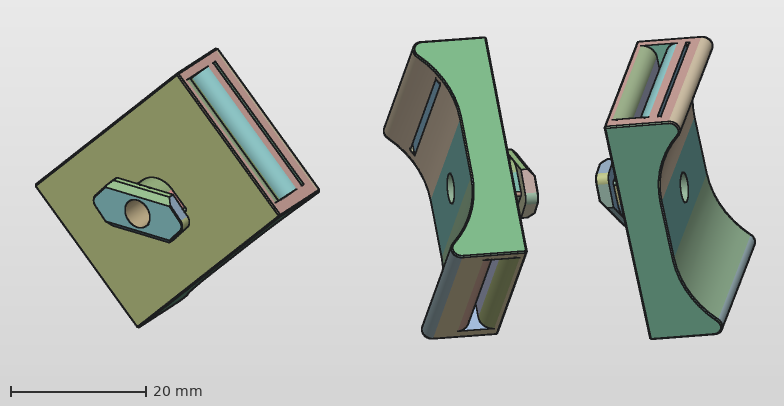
import cadquery as cq
import math

length = 36.2
width = 26.12
thickness = 11.35
edge_break = 0.2
turn_angle = -45

saddle_depth = 5.08
saddle_half_flat = 4.8
tip_radius = 1.45

tunnel_width = 22.4
side_wall = 1.6
tunnel_height = 1.45
flare_radius = 2.05
tunnel_level = 3.68

slit_height = 0.53
slit_level = 8.1

neck_height = 3.2
neck_radius = 3.75
neck_half_width = 5.2
neck_tip_half_height = 0.35
flange_thickness = 1.95
flange_half_flat = 5.05
flange_half_height = 3.75
flange_point = 8.4
flange_tip_radius = 1.3
flange_bevel = 0.95
flange_edge_break = 0.15
hole_diameter = 4.45

half_length = length / 2
tunnel_centre = width / 2 - side_wall - tunnel_width / 2
key_height = neck_height + flange_thickness


def make_block():
    """Block with rounded tips that run tangentially into the saddle arcs."""
    floor = thickness - saddle_depth
    tip_x = half_length - tip_radius
    tip_y = thickness - tip_radius
    run = tip_x - saddle_half_flat
    rise = tip_y - floor
    arc_radius = (run**2 + rise**2 - tip_radius**2) / (2 * saddle_depth)

    drop = math.atan2(arc_radius - rise, run)
    blend_x = tip_x - tip_radius * math.cos(drop)
    blend_y = tip_y + tip_radius * math.sin(drop)
    mid = (drop + math.pi / 2) / 2
    arc_x = saddle_half_flat + arc_radius * math.cos(mid)
    arc_y = floor + arc_radius * (1 - math.sin(mid))

    block = (
        cq.Workplane("XY")
        .moveTo(-half_length, 0)
        .lineTo(half_length, 0)
        .lineTo(half_length, tip_y)
        .threePointArc((tip_x, thickness), (blend_x, blend_y))
        .threePointArc((arc_x, arc_y), (saddle_half_flat, floor))
        .lineTo(-saddle_half_flat, floor)
        .threePointArc((-arc_x, arc_y), (-blend_x, blend_y))
        .threePointArc((-tip_x, thickness), (-half_length, tip_y))
        .close()
        .extrude(width / 2, both=True)
    )
    return block.faces("|Z or <Y").edges().chamfer(edge_break)


def make_tunnel():
    """Strap tunnel whose roof and floor curve outward at each end."""
    half_height = tunnel_height / 2
    mouth = half_height + flare_radius
    throat_x = half_length - flare_radius
    bulge = flare_radius * math.sqrt(0.5)
    arc_x = throat_x + bulge
    arc_y = mouth - bulge
    return (
        cq.Workplane("XY", origin=(0, tunnel_level, tunnel_centre))
        .moveTo(-throat_x, half_height)
        .lineTo(throat_x, half_height)
        .threePointArc((arc_x, arc_y), (half_length, mouth))
        .lineTo(half_length, -mouth)
        .threePointArc((arc_x, -arc_y), (throat_x, -half_height))
        .lineTo(-throat_x, -half_height)
        .threePointArc((-arc_x, -arc_y), (-half_length, -mouth))
        .lineTo(-half_length, mouth)
        .threePointArc((-arc_x, arc_y), (-throat_x, half_height))
        .close()
        .extrude(tunnel_width / 2, both=True)
    )


def make_slit():
    """Slit from the middle of the saddle out through the +X wall."""
    return cq.Workplane("XY").box(
        half_length, slit_height, tunnel_width, centered=(False, True, True)
    ).translate((0, slit_level, tunnel_centre))


def make_neck():
    """Pointed neck: a round core with 45 degree flats meeting at two blunt tips."""
    tangent = neck_radius * math.sqrt(0.5)
    shoulder = neck_radius * math.sqrt(2) - neck_tip_half_height
    return (
        cq.Workplane("XZ")
        .moveTo(-tangent, tangent)
        .threePointArc((0, neck_radius), (tangent, tangent))
        .lineTo(shoulder, neck_tip_half_height)
        .threePointArc((neck_half_width, 0), (shoulder, -neck_tip_half_height))
        .lineTo(tangent, -tangent)
        .threePointArc((0, -neck_radius), (-tangent, -tangent))
        .lineTo(-shoulder, -neck_tip_half_height)
        .threePointArc((-neck_half_width, 0), (-shoulder, neck_tip_half_height))
        .close()
        .extrude(neck_height)
    )


def make_flange():
    """Six-sided flange with rounded tips and long edges bevelled on its outer face."""
    outline = [
        (-flange_point, 0),
        (-flange_half_flat, flange_half_height),
        (flange_half_flat, flange_half_height),
        (flange_point, 0),
        (flange_half_flat, -flange_half_height),
        (-flange_half_flat, -flange_half_height),
    ]
    flange = (
        cq.Workplane("XZ", origin=(0, -neck_height, 0))
        .polyline(outline)
        .close()
        .extrude(flange_thickness)
    )
    flange = flange.edges("|Y").edges("<X or >X").fillet(flange_tip_radius)
    flange = flange.faces("<Y").edges().chamfer(flange_edge_break)

    envelope = (
        cq.Workplane("XY")
        .box(2 * flange_point, flange_thickness, 2 * flange_half_height)
        .faces("<Y").edges("|X").chamfer(flange_bevel)
        .translate((0, -neck_height - flange_thickness / 2, 0))
    )
    return flange.intersect(envelope)


body = make_block().cut(make_tunnel()).cut(make_slit())
body = body.rotate((0, 0, 0), (0, 1, 0), turn_angle)
key = make_neck().union(make_flange())
hole = (
    cq.Workplane("XZ", origin=(0, thickness, 0))
    .circle(hole_diameter / 2)
    .extrude(thickness + key_height)
)
result = body.union(key).cut(hole)